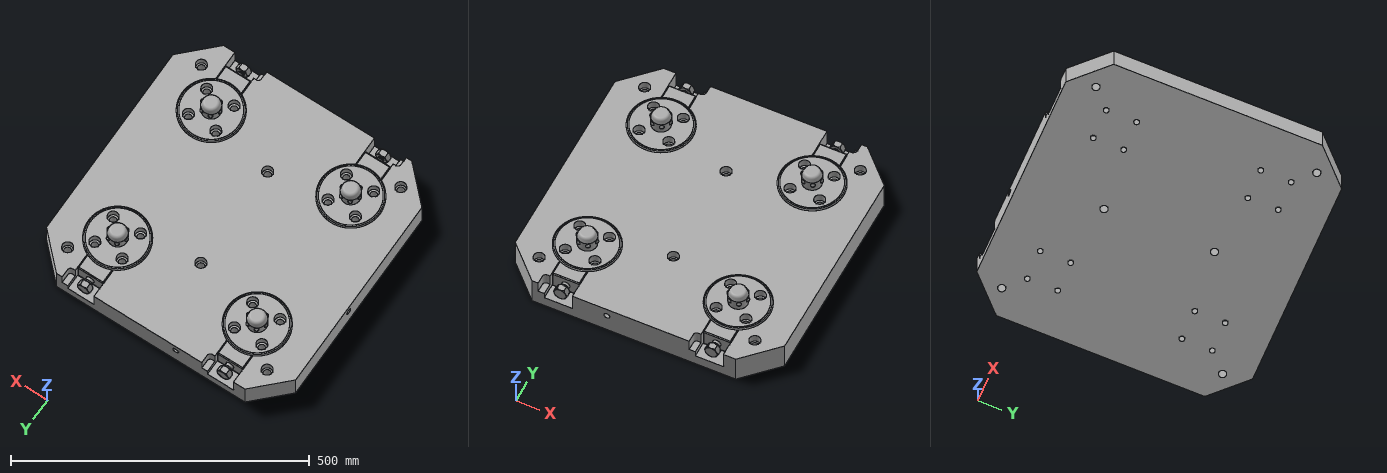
import cadquery as cq
import math

PLATE_SIDE = 502.0
PLATE_THICK = 54.5
CORNER_CUT = 61.0

SCREW_HOLE_DIA = 13.5
COUNTERBORE_DIA = 20.0
COUNTERBORE_DEPTH = 15.0
CORNER_HOLE_OFFSET = 201.0
CENTRE_HOLE_OFFSET = 100.5

CHANNEL_DIA = 7.0
PORT_DIA = 11.0
PORT_DEPTH = 15.0
CHANNEL_DROP = 17.0
LONG_CHANNEL_X = -50.0
SIDE_CHANNEL_Y = 30.0

UNIT_OFFSET = 140.5
TOTAL_HEIGHT = 88.5
DISC_DIA = 117.5
DISC_RISE = 3.0
DISC_CHAMFER = 2.0
DISC_TOP_DIA = 108.5
BLOCK_WIDTH = 52.0
BLOCK_END = 82.0
BLOCK_CHAMFER = 1.75
POCKET_DEPTH = 33.0

BOLT_OFFSET = 27.5
BOLT_HOLE_DIA = 12.5
BOLT_HOLE_UNDER_DIA = 9.5

NOTCH_WIDTH = 11.5
NOTCH_LENGTH = 22.0
NOTCH_DEPTH = 22.0
NOTCH_CORNER_RADIUS = 6.0

STUD_DIA = 35.5
STUD_TIP_DIA = 28.0
STUD_TIP_RADIUS = 6.0
STUD_TAPER_HEIGHT = 10.0
STUD_FOOT_DIA = 34.5
STUD_FOOT_HEIGHT = 5.5
BALL_COUNT = 6
BALL_DIA = 8.5
BALL_CIRCLE_DIA = 33.0
BALL_DROP = 16.5

HEAD_SIDES = 6
HEAD_FLATS = 22.5
HEAD_THICK = 12.5
HEAD_CHAMFER = 2.0
HEAD_END = 104.0
SHANK_DIA = 15.0
SHANK_CHAMFER = 2.0
NECK_DIA = 11.0
NECK_LENGTH = 2.0
SHANK_DEPTH = 15.0
SCREW_DROP = 17.0

POCKET_FLOOR = PLATE_THICK - POCKET_DEPTH
DISC_TOP = PLATE_THICK + DISC_RISE
CHANNEL_Z = PLATE_THICK - CHANNEL_DROP
SCREW_Z = PLATE_THICK - SCREW_DROP
HALF_SIDE = PLATE_SIDE / 2
EDGE_DISTANCE = HALF_SIDE - UNIT_OFFSET
SHANK_START = BLOCK_END - SHANK_DEPTH
HEAD_START = HEAD_END - HEAD_THICK
SIGNS = (-1, 1)


def four_corners(offset):
    """Points at plus and minus the offset along both X and Y."""
    return [(sx * offset, sy * offset) for sx in SIGNS for sy in SIGNS]


BOLT_POINTS = four_corners(BOLT_OFFSET)


def place_unit(shape, x, y):
    """Move a shape built around the origin, facing -Y, to a clamp position facing outward."""
    turn = 180 if y > 0 else 0
    return shape.rotate((0, 0, 0), (0, 0, 1), turn).translate((x, y, 0))


def outward_box(length):
    """Box of the block's width from the unit axis out to Y = -length, level with the plate's top."""
    box = cq.Workplane("XY").box(BLOCK_WIDTH, length, POCKET_DEPTH, centered=(True, False, False))
    return box.translate((0, -length, POCKET_FLOOR))


def make_pocket():
    """Space in the plate for one clamp unit: recess, block slot, notch and lower bolt holes."""
    recess = cq.Workplane("XY").workplane(offset=POCKET_FLOOR).circle(DISC_DIA / 2).extrude(POCKET_DEPTH)
    slot = outward_box(EDGE_DISTANCE)

    notch_x = -BLOCK_WIDTH / 2 - NOTCH_WIDTH
    notch = (
        cq.Workplane("XY")
        .box(NOTCH_WIDTH, NOTCH_LENGTH, NOTCH_DEPTH, centered=False)
        .edges("|Z and <X and >Y")
        .fillet(NOTCH_CORNER_RADIUS)
        .translate((notch_x, -EDGE_DISTANCE, PLATE_THICK - NOTCH_DEPTH))
    )

    lower_holes = (
        cq.Workplane("XY")
        .pushPoints(BOLT_POINTS)
        .circle(BOLT_HOLE_UNDER_DIA / 2)
        .extrude(POCKET_FLOOR)
    )
    return recess.union(slot).union(notch).union(lower_holes)


def make_channels():
    """Long channel through the plate along Y, fed by a side channel from the -X side.

    Every channel mouth is widened to a port.
    """
    long_mouth = cq.Workplane("XZ", origin=(LONG_CHANNEL_X, HALF_SIDE, CHANNEL_Z))
    far_mouth = cq.Workplane("XZ", origin=(LONG_CHANNEL_X, -HALF_SIDE, CHANNEL_Z))
    side_mouth = cq.Workplane("YZ", origin=(-HALF_SIDE, SIDE_CHANNEL_Y, CHANNEL_Z))
    return (
        long_mouth.circle(CHANNEL_DIA / 2).extrude(PLATE_SIDE)
        .union(side_mouth.circle(CHANNEL_DIA / 2).extrude(HALF_SIDE + LONG_CHANNEL_X))
        .union(long_mouth.circle(PORT_DIA / 2).extrude(PORT_DEPTH))
        .union(far_mouth.circle(PORT_DIA / 2).extrude(-PORT_DEPTH))
        .union(side_mouth.circle(PORT_DIA / 2).extrude(PORT_DEPTH))
    )


def make_plate(unit_points):
    """Square plate with cut corners, screw holes, channels and a pocket for each clamp unit."""
    hole_points = four_corners(CORNER_HOLE_OFFSET) + [(0, sy * CENTRE_HOLE_OFFSET) for sy in SIGNS]
    plate = (
        cq.Workplane("XY")
        .box(PLATE_SIDE, PLATE_SIDE, PLATE_THICK, centered=(True, True, False))
        .edges("|Z")
        .chamfer(CORNER_CUT)
        .faces(">Z")
        .workplane()
        .pushPoints(hole_points)
        .cboreHole(SCREW_HOLE_DIA, COUNTERBORE_DIA, COUNTERBORE_DEPTH)
        .cut(make_channels())
    )
    pocket = make_pocket()
    for x, y in unit_points:
        plate = plate.cut(place_unit(pocket, x, y))
    return plate


def make_stud():
    """Round stud with a narrowed foot, a tapered and rounded tip and a ring of locking balls."""
    taper_z = TOTAL_HEIGHT - STUD_TAPER_HEIGHT
    foot_z = DISC_TOP + STUD_FOOT_HEIGHT
    stud = (
        cq.Workplane("XZ")
        .moveTo(0, DISC_TOP)
        .lineTo(STUD_FOOT_DIA / 2, DISC_TOP)
        .lineTo(STUD_DIA / 2, foot_z)
        .lineTo(STUD_DIA / 2, taper_z)
        .lineTo(STUD_TIP_DIA / 2, TOTAL_HEIGHT)
        .lineTo(0, TOTAL_HEIGHT)
        .close()
        .revolve(360, (0, 0, 0), (0, 1, 0))
        .faces(">Z")
        .edges()
        .fillet(STUD_TIP_RADIUS)
    )
    balls = (
        cq.Workplane("XY")
        .workplane(offset=TOTAL_HEIGHT - BALL_DROP)
        .polarArray(BALL_CIRCLE_DIA / 2, 0, 360, BALL_COUNT)
        .sphere(BALL_DIA / 2)
    )
    return stud.union(balls)


def make_screw():
    """Hexagon-head screw pointing inward along +Y, chamfered on both rims of the head."""
    head_diameter = HEAD_FLATS / math.cos(math.pi / HEAD_SIDES)
    head = (
        cq.Workplane("XZ", origin=(0, -HEAD_START, SCREW_Z))
        .polygon(HEAD_SIDES, head_diameter)
        .extrude(HEAD_THICK)
    )
    rim = (
        cq.Workplane("XZ", origin=(0, -HEAD_START, SCREW_Z))
        .circle(head_diameter / 2)
        .extrude(HEAD_THICK)
        .edges()
        .chamfer(HEAD_CHAMFER)
    )
    shank = (
        cq.Workplane("XZ", origin=(0, -SHANK_START, SCREW_Z))
        .circle(SHANK_DIA / 2)
        .extrude(HEAD_START - NECK_LENGTH - SHANK_START)
        .faces("<Y")
        .chamfer(SHANK_CHAMFER)
    )
    neck = (
        cq.Workplane("XZ", origin=(0, -SHANK_START, SCREW_Z))
        .circle(NECK_DIA / 2)
        .extrude(HEAD_START - SHANK_START)
    )
    return head.intersect(rim).union(shank).union(neck)


def make_unit(screw):
    """Clamp unit: stepped disc, block and stud, with bolt holes and a seat for the screw."""
    rim = (
        cq.Workplane("XY", origin=(0, 0, POCKET_FLOOR))
        .circle(DISC_DIA / 2)
        .extrude(POCKET_DEPTH + DISC_CHAMFER)
        .faces(">Z")
        .chamfer(DISC_CHAMFER)
    )
    raised_top = cq.Workplane("XY", origin=(0, 0, PLATE_THICK)).circle(DISC_TOP_DIA / 2).extrude(DISC_RISE)
    block = outward_box(BLOCK_END).edges("<Y or |Y").chamfer(BLOCK_CHAMFER)

    bolt_holes = (
        cq.Workplane("XY", origin=(0, 0, POCKET_FLOOR))
        .pushPoints(BOLT_POINTS)
        .circle(BOLT_HOLE_DIA / 2)
        .extrude(DISC_TOP - POCKET_FLOOR)
    )
    counterbores = (
        cq.Workplane("XY", origin=(0, 0, DISC_TOP))
        .pushPoints(BOLT_POINTS)
        .circle(COUNTERBORE_DIA / 2)
        .extrude(-COUNTERBORE_DEPTH)
    )
    return (
        rim.union(raised_top)
        .union(block)
        .union(make_stud())
        .cut(bolt_holes)
        .cut(counterbores)
        .cut(screw)
    )


unit_points = four_corners(UNIT_OFFSET)
plate = make_plate(unit_points)
screw = make_screw()
clamp_unit = make_unit(screw)
clamp_units = [place_unit(clamp_unit, x, y) for x, y in unit_points]
screws = [place_unit(screw, x, y) for x, y in unit_points]

result = cq.Compound.makeCompound(
    [plate.val()]
    + [unit.val() for unit in clamp_units]
    + [screw_copy.val() for screw_copy in screws]
)